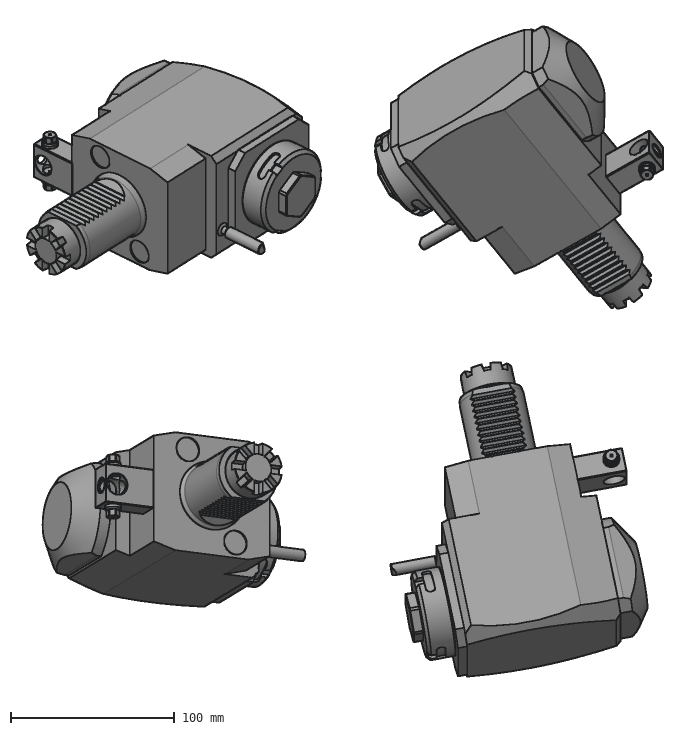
import cadquery as cq
import math


BODY_HALF_Z = 37.5
BODY_TOP_Y = 114.0
BASE_HALF_X = 39.0
BASE_HEIGHT = 35.0
HEAD_LEFT_X = -48.4
HEAD_RIGHT_X = 47.75
FLANK_START_X = 24.6
FLANK_ANGLE = 15.0
FLANK_SLOPE = math.tan(math.radians(FLANK_ANGLE))
HEAD_EDGE_CHAMFER = 4.2
BACK_CORNER_CHAMFER = 3.2
CROWN_CENTER_X = 9.4
CROWN_RADIUS = 125.0
CROWN_TOP_Y = 110.2

PLUG_CENTERS = [(-16.0, 27.7), (16.0, -27.7)]
PLUG_RADIUS = 7.6
PLUG_DEPTH = 1.0

SPINDLE_Y = 80.0
CAP_RADIUS = 38.0
CAP_FACE_RADIUS = 21.0
CAP_LEFT_X = -67.2
CAP_CONE_X = -55.5
CAP_FLAT_X = -51.7
CAP_HALF_Z = 29.5
CAP_TOP = 30.0
CAP_CORNER_SUM = 52.5
PLATE_THICKNESS = 5.6
PLATE_HALF = 33.9
PLATE_CHAMFER = 9.0
COLLAR_RADIUS = 27.7
COLLAR_UNDERCUT_RADIUS = 27.4
COLLAR_UNDERCUT_WIDTH = 0.45
COLLAR_RIGHT_X = 70.9
COLLAR_CHAMFER = 2.2
SLOT_COUNT = 3
SLOT_FIRST_ANGLE = 30.0
SLOT_HALF_ANGLE = 15.0
SLOT_X = 62.4
SLOT_OVERCUT = 1.0
SLOT_WIDTH = 5.6
SLOT_FLOOR_RADIUS = 26.1
KEYWAY_WIDTH = 5.8
KEYWAY_FLOOR_RADIUS = 25.0
HEX_FLATS = 27.0
HEX_CORNER_RADIUS = 15.1
HEX_RIGHT_X = 77.0
HEX_CHAMFER = 0.55

PIN_Y = 40.7
PIN_Z = -17.5
PIN_RADIUS = 3.65
PIN_NECK_RADIUS = 2.6
PIN_FOOT_RADIUS = 4.3
PIN_FOOT_LENGTH = 1.2
PIN_NECK_END = 4.3
PIN_BODY_START = 5.3
PIN_END_X = 80.33
PIN_END_CHAMFER = 0.4
PIN_BEVEL = 2.4
PIN_BEVEL_ROLL = 22.0

SHANK_RADIUS = 20.0
SHANK_LENGTH = 52.8
SHANK_TAPER_LENGTH = 2.8
SHANK_END_RADIUS = 19.5
RING_RADIUS = 21.5
RING_SHOULDER = (21.35, -1.8)
RING_FLANK = (20.5, -2.45)
RING_END = 3.7
RACK_CREST_Z = 16.0
RACK_VALLEY_Z = 14.5
RACK_RAMP_START = 5.0
RACK_TEETH = 10
RACK_PITCH = 4.0
RACK_FIRST_VALLEY = 11.4
RACK_GROOVE_WIDTH = 3.6
RACK_OVERCUT = 2.0

NUT_RADIUS = 16.0
NUT_START = 53.9
NUT_END = 68.0
NUT_CHAMFER = 0.3
NUT_NECK_RADIUS = 12.7
NUT_SLOTS = 8
NUT_SLOT_DEPTH = 4.5
NUT_SLOT_MOUTH = 5.5
NUT_SLOT_FLOOR = 4.2
NUT_HUB_RADIUS = 8.7

BLOCK_LEFT_X = -71.0
BLOCK_Y_MIN = 0.7
BLOCK_Y_MAX = 16.1
BLOCK_HALF_Z = 12.3
BLOCK_CHAMFER = 0.55
BLOCK_END_CHAMFER = 0.25
BLOCK_HOLE_X = -63.2
BLOCK_HOLE_RADIUS = 6.6
BLOCK_HOLE_CHAMFER = 0.3
NOZZLE_Y = 7.0
CROSS_BORE_RADIUS = 4.3
CROSS_BORE_HALF_Z = 7.5
SIDE_BORE_Y = 7.5
SIDE_BORE_END_X = -53.0
SIDE_BORE_CHAMFER = 0.6
SIDE_SOCKET_RADIUS = 1.2
SIDE_SOCKET_DEPTH = 3.0
NOZZLE_FLANGE_RADIUS = 5.0
NOZZLE_FLANGE_HEIGHT = 1.8
NOZZLE_CONE_RADIUS = 4.4
NOZZLE_CONE_HEIGHT = 3.0
NOZZLE_HEAD_TOP = 7.2
NOZZLE_HEX_FLATS = 7.4
NOZZLE_CORNER_RADIUS = 4.05
NOZZLE_TOP_CHAMFER = 0.5
NOZZLE_BORE_RADIUS = 0.8


def prism_along_y(outline_xz, y_start, y_end):
    """Prism with an X-Z outline between two Y positions."""
    plane = cq.Workplane("XZ", origin=(0, y_start, 0))
    return plane.polyline(outline_xz).close().extrude(y_start - y_end)


def turned_along_x(outline, y, z):
    """Solid of revolution about an X-parallel axis, from (x, radius) points."""
    plane = cq.Workplane("XY", origin=(0, y, z))
    return plane.polyline(outline).close().revolve(360, (0, 0, 0), (1, 0, 0))


def turned_along_y(outline):
    """Solid of revolution about the Y axis, from (radius, y) points."""
    return cq.Workplane("XY").polyline(outline).close().revolve(360, (0, 0, 0), (0, 1, 0))


def cylinder_x(radius, x_start, x_end, y, z):
    return cq.Workplane("YZ", origin=(x_start, y, z)).circle(radius).extrude(x_end - x_start)


def cylinder_y(radius, y_start, y_end, x, z):
    return cq.Workplane("XZ", origin=(x, y_start, z)).circle(radius).extrude(y_start - y_end)


def flank_z(x):
    """Half height of the sloped flank at a distance x from the shank axis."""
    return BODY_HALF_Z - FLANK_SLOPE * (abs(x) - FLANK_START_X)


def make_housing():
    base_z = flank_z(BASE_HALF_X)
    base = prism_along_y([
        (-BASE_HALF_X, -base_z), (-FLANK_START_X, -BODY_HALF_Z),
        (FLANK_START_X, -BODY_HALF_Z), (BASE_HALF_X, -base_z),
        (BASE_HALF_X, base_z), (FLANK_START_X, BODY_HALF_Z),
        (-FLANK_START_X, BODY_HALF_Z), (-BASE_HALF_X, base_z),
    ], 0, BASE_HEIGHT)
    left_z = flank_z(HEAD_LEFT_X)
    edge_x = HEAD_RIGHT_X - HEAD_EDGE_CHAMFER
    edge_z = BODY_HALF_Z - HEAD_EDGE_CHAMFER
    head = prism_along_y([
        (HEAD_LEFT_X, -left_z), (-FLANK_START_X, -BODY_HALF_Z),
        (edge_x, -BODY_HALF_Z), (HEAD_RIGHT_X, -edge_z),
        (HEAD_RIGHT_X, edge_z), (edge_x, BODY_HALF_Z),
        (-FLANK_START_X, BODY_HALF_Z), (HEAD_LEFT_X, left_z),
    ], BASE_HEIGHT, BODY_TOP_Y)
    head = head.faces(">Y").edges("<X").chamfer(BACK_CORNER_CHAMFER)
    return base.union(head.intersect(make_crown_envelope()))


def make_crown_envelope():
    """Two 45-degree cones that bevel the curved back edges of the head."""
    center_y = CROWN_TOP_Y - CROWN_RADIUS
    middle_radius = CROWN_RADIUS + BODY_HALF_Z
    outline = [
        (0, -BODY_HALF_Z), (CROWN_RADIUS, -BODY_HALF_Z), (middle_radius, 0),
        (CROWN_RADIUS, BODY_HALF_Z), (0, BODY_HALF_Z),
    ]
    plane = cq.Workplane("XZ", origin=(CROWN_CENTER_X, center_y, 0))
    return plane.polyline(outline).close().revolve(360, (0, 0, 0), (0, 1, 0))


def make_cap():
    """Turned end cap, trimmed to the flanks, the back face and two corner bevels."""
    turned = turned_along_x([
        (HEAD_LEFT_X, 0), (HEAD_LEFT_X, CAP_RADIUS), (CAP_CONE_X, CAP_RADIUS),
        (CAP_LEFT_X, CAP_FACE_RADIUS), (CAP_LEFT_X, 0),
    ], SPINDLE_Y, 0)
    left_z = CAP_HALF_Z - FLANK_SLOPE * (CAP_FLAT_X - CAP_LEFT_X)
    flanks = prism_along_y([
        (CAP_LEFT_X, -left_z), (CAP_FLAT_X, -CAP_HALF_Z), (HEAD_LEFT_X, -CAP_HALF_Z),
        (HEAD_LEFT_X, CAP_HALF_Z), (CAP_FLAT_X, CAP_HALF_Z), (CAP_LEFT_X, left_z),
    ], SPINDLE_Y - CAP_RADIUS, SPINDLE_Y + CAP_TOP)
    corner_z = CAP_CORNER_SUM - CAP_TOP
    corner_y = CAP_CORNER_SUM - CAP_RADIUS
    bevels = cq.Workplane("YZ", origin=(CAP_LEFT_X, SPINDLE_Y, 0)).polyline([
        (-CAP_RADIUS, -CAP_RADIUS), (corner_y, -CAP_RADIUS), (CAP_TOP, -corner_z),
        (CAP_TOP, corner_z), (corner_y, CAP_RADIUS), (-CAP_RADIUS, CAP_RADIUS),
    ]).close().extrude(HEAD_LEFT_X - CAP_LEFT_X)
    return turned.intersect(flanks).intersect(bevels)


def make_plate():
    side = 2 * PLATE_HALF
    plane = cq.Workplane("YZ", origin=(HEAD_RIGHT_X, SPINDLE_Y, 0))
    return plane.rect(side, side).extrude(PLATE_THICKNESS).edges("|X").chamfer(PLATE_CHAMFER)


def make_slot_cutter():
    """Curved slot with round ends and a keyway to the collar face, around the +Z direction."""
    outside = COLLAR_RADIUS + SLOT_OVERCUT
    ring_start = SLOT_X - SLOT_WIDTH / 2
    ring = cylinder_x(outside, ring_start, ring_start + SLOT_WIDTH, 0, 0)
    core = cylinder_x(SLOT_FLOOR_RADIUS, ring_start, ring_start + SLOT_WIDTH, 0, 0)
    reach = 2 * outside * math.tan(math.radians(SLOT_HALF_ANGLE))
    sector = cq.Workplane("YZ", origin=(ring_start, 0, 0)).polyline([
        (0, 0), (reach, 2 * outside), (-reach, 2 * outside),
    ]).close().extrude(SLOT_WIDTH)
    cutter = ring.intersect(sector)
    for angle in (-SLOT_HALF_ANGLE, SLOT_HALF_ANGLE):
        end = cq.Workplane("XY", origin=(SLOT_X, 0, 0)).circle(SLOT_WIDTH / 2).extrude(outside)
        cutter = cutter.union(end.rotate((0, 0, 0), (1, 0, 0), angle))
    cutter = cutter.cut(core)
    keyway_start = SLOT_X + SLOT_WIDTH / 2
    keyway = cq.Workplane("XY", origin=(keyway_start, 0, KEYWAY_FLOOR_RADIUS))
    keyway = keyway.rect(2 * (COLLAR_RIGHT_X - keyway_start), KEYWAY_WIDTH)
    keyway = keyway.extrude(outside - KEYWAY_FLOOR_RADIUS)
    keyway = keyway.intersect(cylinder_x(outside, keyway_start, COLLAR_RIGHT_X, 0, 0))
    return cutter.union(keyway)


def make_collar():
    start = HEAD_RIGHT_X + PLATE_THICKNESS
    undercut_end = start + COLLAR_UNDERCUT_WIDTH
    collar = turned_along_x([
        (start, 0), (start, COLLAR_UNDERCUT_RADIUS), (undercut_end, COLLAR_UNDERCUT_RADIUS),
        (undercut_end, COLLAR_RADIUS), (COLLAR_RIGHT_X - COLLAR_CHAMFER, COLLAR_RADIUS),
        (COLLAR_RIGHT_X, COLLAR_RADIUS - COLLAR_CHAMFER), (COLLAR_RIGHT_X, 0),
    ], SPINDLE_Y, 0)
    slot = make_slot_cutter()
    for index in range(SLOT_COUNT):
        angle = SLOT_FIRST_ANGLE + index * 360 / SLOT_COUNT
        cutter = slot.rotate((0, 0, 0), (1, 0, 0), angle)
        collar = collar.cut(cutter.translate((0, SPINDLE_Y, 0)))
    return collar


def make_spindle_hex():
    """Hexagon with flats facing +Y and -Y and turned-down corners."""
    corner_diameter = HEX_FLATS / math.cos(math.radians(30))
    length = HEX_RIGHT_X - COLLAR_RIGHT_X
    hexagon = cq.Workplane("YZ", origin=(COLLAR_RIGHT_X, SPINDLE_Y, 0))
    hexagon = hexagon.transformed(rotate=(0, 0, 30)).polygon(6, corner_diameter).extrude(length)
    envelope = cylinder_x(HEX_CORNER_RADIUS, COLLAR_RIGHT_X, HEX_RIGHT_X, SPINDLE_Y, 0)
    return hexagon.intersect(envelope).faces(">X").chamfer(HEX_CHAMFER)


def make_pin():
    start = HEAD_RIGHT_X
    neck_end = start + PIN_NECK_END
    foot_end = start + PIN_FOOT_LENGTH
    pin = turned_along_x([
        (start, 0), (start, PIN_FOOT_RADIUS), (foot_end, PIN_NECK_RADIUS),
        (neck_end, PIN_NECK_RADIUS), (start + PIN_BODY_START, PIN_RADIUS),
        (PIN_END_X - PIN_END_CHAMFER, PIN_RADIUS),
        (PIN_END_X, PIN_RADIUS - PIN_END_CHAMFER), (PIN_END_X, 0),
    ], 0, 0)
    bevel = cq.Workplane("XY").polyline([
        (PIN_END_X - PIN_BEVEL, PIN_RADIUS), (PIN_END_X, PIN_RADIUS - PIN_BEVEL),
        (PIN_END_X, PIN_RADIUS),
    ]).close().extrude(PIN_RADIUS, both=True)
    pin = pin.cut(bevel.rotate((0, 0, 0), (1, 0, 0), PIN_BEVEL_ROLL))
    return pin.translate((0, PIN_Y, PIN_Z))


def make_rack_cutter():
    """Removes material above the +Z rack: entry ramp, crest flat and V grooves."""
    ramp_run = SHANK_RADIUS - RACK_CREST_Z
    half_x = SHANK_RADIUS
    side = cq.Workplane("YZ", origin=(-half_x, 0, 0))
    cutter = side.polyline([
        (-RACK_RAMP_START + RACK_OVERCUT, SHANK_RADIUS + RACK_OVERCUT),
        (-RACK_RAMP_START - ramp_run, RACK_CREST_Z),
        (-SHANK_LENGTH, RACK_CREST_Z), (-SHANK_LENGTH, SHANK_RADIUS + RACK_OVERCUT),
    ]).close().extrude(2 * half_x)
    for index in range(RACK_TEETH):
        y = -RACK_FIRST_VALLEY - index * RACK_PITCH
        groove = side.polyline([
            (y - RACK_GROOVE_WIDTH / 2, RACK_CREST_Z), (y, RACK_VALLEY_Z),
            (y + RACK_GROOVE_WIDTH / 2, RACK_CREST_Z),
        ]).close().extrude(2 * half_x)
        cutter = cutter.union(groove)
    return cutter


def make_shank():
    shank = turned_along_y([
        (0, 0), (SHANK_RADIUS, 0),
        (SHANK_RADIUS, SHANK_TAPER_LENGTH - SHANK_LENGTH), (SHANK_END_RADIUS, -SHANK_LENGTH),
        (0, -SHANK_LENGTH),
    ])
    rack = make_rack_cutter()
    shank = shank.cut(rack).cut(rack.mirror("XY"))
    return shank.union(make_root_ring())


def make_root_ring():
    """Rounded bead that blends the shank into the mounting face."""
    profile = cq.Workplane("XY").lineTo(RING_RADIUS, 0)
    profile = profile.spline(
        [RING_SHOULDER, RING_FLANK, (SHANK_RADIUS, -RING_END)],
        tangents=[(0, -1), (0, -1)], includeCurrent=True,
    )
    return profile.lineTo(0, -RING_END).close().revolve(360, (0, 0, 0), (0, 1, 0))


def make_nut():
    nut = cylinder_y(NUT_RADIUS, -NUT_START, -NUT_END, 0, 0).edges().chamfer(NUT_CHAMFER)
    floor_y = NUT_SLOT_DEPTH - NUT_END
    hub = cylinder_y(NUT_HUB_RADIUS, floor_y, -NUT_END, 0, 0)
    slot = cq.Workplane("XY").polyline([
        (-NUT_SLOT_MOUTH / 2, -NUT_END), (-NUT_SLOT_FLOOR / 2, floor_y),
        (NUT_SLOT_FLOOR / 2, floor_y), (NUT_SLOT_MOUTH / 2, -NUT_END),
    ]).close().extrude(NUT_RADIUS)
    for index in range(NUT_SLOTS):
        nut = nut.cut(slot.rotate((0, 0, 0), (0, 1, 0), index * 360 / NUT_SLOTS))
    neck = cylinder_y(NUT_NECK_RADIUS, -SHANK_LENGTH, -NUT_START, 0, 0)
    return nut.union(hub).union(neck)


def make_nozzle():
    """Flanged hexagon nozzle standing on the +Z side of the block."""
    body = cq.Workplane("XZ").polyline([
        (0, 0), (NOZZLE_FLANGE_RADIUS, 0), (NOZZLE_FLANGE_RADIUS, NOZZLE_FLANGE_HEIGHT),
        (NOZZLE_CONE_RADIUS, NOZZLE_CONE_HEIGHT), (0, NOZZLE_CONE_HEIGHT),
    ]).close().revolve(360, (0, 0, 0), (0, 1, 0))
    corner_diameter = NOZZLE_HEX_FLATS / math.cos(math.radians(30))
    head = cq.Workplane("XY").transformed(rotate=(0, 0, 30))
    head = head.polygon(6, corner_diameter).extrude(NOZZLE_HEAD_TOP)
    envelope = cq.Workplane("XY").circle(NOZZLE_CORNER_RADIUS).extrude(NOZZLE_HEAD_TOP)
    envelope = envelope.faces(">Z").chamfer(NOZZLE_TOP_CHAMFER)
    nozzle = body.union(head.intersect(envelope))
    return nozzle.translate((BLOCK_HOLE_X, NOZZLE_Y, BLOCK_HALF_Z))


def make_block():
    length = -BASE_HALF_X - BLOCK_LEFT_X
    width = BLOCK_Y_MAX - BLOCK_Y_MIN
    block = cq.Workplane("XY").box(length, width, 2 * BLOCK_HALF_Z, centered=(False, False, True))
    block = block.translate((BLOCK_LEFT_X, BLOCK_Y_MIN, 0)).edges("|X").chamfer(BLOCK_CHAMFER)
    block = block.faces("<X").edges().chamfer(BLOCK_END_CHAMFER)
    nozzle = make_nozzle()
    block = block.union(nozzle).union(nozzle.mirror("XY"))
    for bore in make_block_bores():
        block = block.cut(bore)
    return block


def make_block_bores():
    """Cutters for the large Y hole, the X and Z cross bores and the fine nozzle bore."""
    mouth_radius = BLOCK_HOLE_RADIUS + BLOCK_HOLE_CHAMFER
    large_hole = turned_along_y([
        (0, BLOCK_Y_MIN), (mouth_radius, BLOCK_Y_MIN),
        (BLOCK_HOLE_RADIUS, BLOCK_Y_MIN + BLOCK_HOLE_CHAMFER),
        (BLOCK_HOLE_RADIUS, BLOCK_Y_MAX), (0, BLOCK_Y_MAX),
    ]).translate((BLOCK_HOLE_X, 0, 0))
    socket_end = SIDE_BORE_END_X + SIDE_SOCKET_DEPTH
    side_bore = turned_along_x([
        (BLOCK_LEFT_X, 0), (BLOCK_LEFT_X, CROSS_BORE_RADIUS + SIDE_BORE_CHAMFER),
        (BLOCK_LEFT_X + SIDE_BORE_CHAMFER, CROSS_BORE_RADIUS),
        (SIDE_BORE_END_X, CROSS_BORE_RADIUS), (SIDE_BORE_END_X, SIDE_SOCKET_RADIUS),
        (socket_end, SIDE_SOCKET_RADIUS), (socket_end, 0),
    ], SIDE_BORE_Y, 0)
    nozzle_axis = cq.Workplane("XY", origin=(BLOCK_HOLE_X, NOZZLE_Y, 0))
    cross_bore = nozzle_axis.circle(CROSS_BORE_RADIUS).extrude(CROSS_BORE_HALF_Z, both=True)
    nozzle_end = BLOCK_HALF_Z + NOZZLE_HEAD_TOP
    fine_bore = nozzle_axis.circle(NOZZLE_BORE_RADIUS).extrude(nozzle_end, both=True)
    return [large_hole, side_bore, cross_bore, fine_bore]


def make_tool_holder():
    holder = make_housing()
    for x, z in PLUG_CENTERS:
        holder = holder.cut(cylinder_y(PLUG_RADIUS, 0, PLUG_DEPTH, x, z))
    parts = [
        make_cap(), make_plate(), make_collar(), make_spindle_hex(),
        make_pin(), make_shank(), make_nut(), make_block(),
    ]
    for part in parts:
        holder = holder.union(part)
    return holder


result = make_tool_holder()